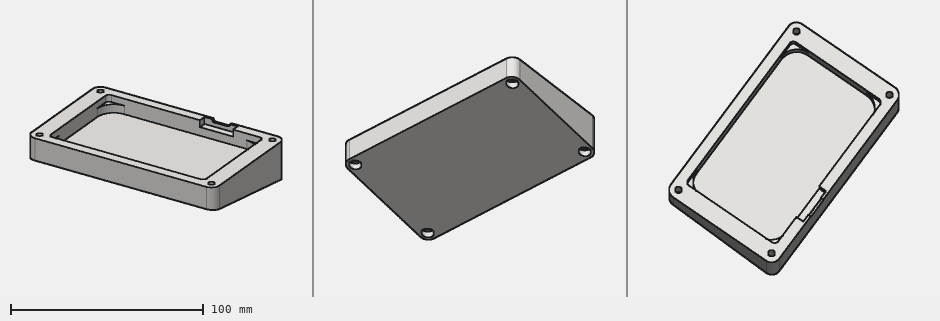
import cadquery as cq

length = 115.2
width = 69.2
rear_height = 22.7
front_height = 13.0
outer_radius = 5.0

cavity_length = 95.4
cavity_width = 57.4
opening_depth = 4.0
opening_radius = 2.3
cavity_depth = 9.0
pocket_radius = 10.0

hole_diameter = 3.5
hole_inset = outer_radius
counterbore_diameter = 6.5
counterbore_depth = 3.5

connector_x = 19.0
recess_length = 20.3
recess_depth = 4.0
recess_wall = 1.5
slot_length = 11.1
slot_depth = 1.6
slot_end_radius = 0.99 * slot_depth


def rounded_block(size_x, size_y, height, radius):
    """Block with rounded vertical edges, hanging down from z = 0."""
    block = cq.Workplane("XY").rect(size_x, size_y).extrude(-height)
    return block.edges("|Z").fillet(radius)


def wedge_body():
    """Rounded case body whose underside slopes down towards the rear."""
    side_profile = [
        (-width / 2, 0),
        (width / 2, 0),
        (width / 2, -rear_height),
        (-width / 2, -front_height),
    ]
    wedge = cq.Workplane("YZ").polyline(side_profile).close().extrude(length / 2, both=True)
    return wedge.intersect(rounded_block(length, width, rear_height, outer_radius))


def cavity():
    opening = rounded_block(cavity_length, cavity_width, opening_depth, opening_radius)
    pocket = rounded_block(cavity_length, cavity_width, cavity_depth, pocket_radius)
    return opening.union(pocket)


def screw_hole(x, y):
    """Vertical through hole, counterbored from the sloping underside."""
    slope = (rear_height - front_height) / width
    underside_z = -(front_height + rear_height) / 2 - slope * y
    seat_z = underside_z + counterbore_depth
    hole = cq.Workplane("XY").center(x, y).circle(hole_diameter / 2).extrude(-rear_height)
    counterbore = (
        cq.Workplane("XY", origin=(x, y, seat_z))
        .circle(counterbore_diameter / 2)
        .extrude(-rear_height)
    )
    return hole.union(counterbore)


def connector_recess():
    """Recess that opens into the cavity and to the top face."""
    outer_y = width / 2 - recess_wall
    recess_width = outer_y - cavity_width / 2
    return (
        cq.Workplane("XY")
        .center(connector_x, outer_y - recess_width / 2)
        .rect(recess_length, recess_width)
        .extrude(-recess_depth)
    )


def connector_slot():
    """Round-ended slot, centred on the top face, through the recess wall."""
    slot = (
        cq.Workplane("XZ", origin=(connector_x, width / 2, 0))
        .rect(slot_length, 2 * slot_depth)
        .extrude(recess_wall)
    )
    return slot.edges("|Y").fillet(slot_end_radius)


result = wedge_body().cut(cavity())
for side_x in (-1, 1):
    for side_y in (-1, 1):
        hole_x = side_x * (length / 2 - hole_inset)
        hole_y = side_y * (width / 2 - hole_inset)
        result = result.cut(screw_hole(hole_x, hole_y))
result = result.cut(connector_recess()).cut(connector_slot())